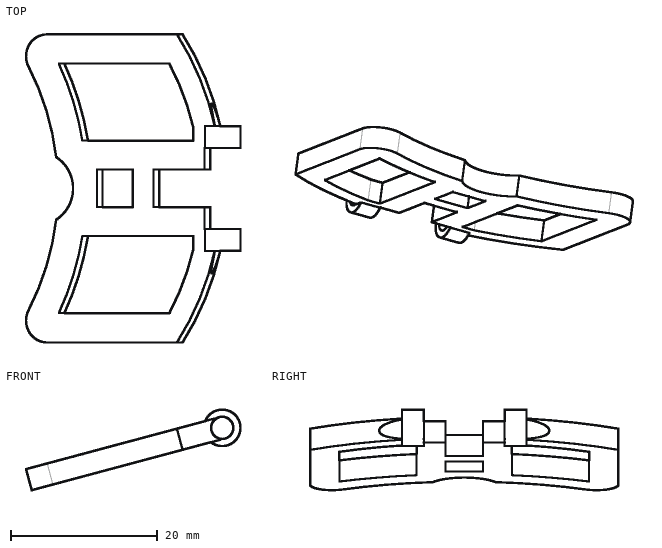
import cadquery as cq

tilt_angle = 15.0
plate_thickness = 3.0
plate_width = 42.0
half_width = plate_width / 2
blank_reach = 40.0

front_centre_x = -58.0
front_radius = 35.23
rear_centre_x = -37.9
rear_radius = 38.2
corner_radius = 3.0

notch_radius = 5.0
notch_centre_x = -25.64

side_wall = 4.0
front_wall = 4.0
rear_wall = 3.0
window_inner_y = 6.5
window_outer_y = half_width - side_wall
window_end_x = -3.7

slot_width = 5.1
centre_window_front_x = -17.27
centre_window_rear_x = -12.24
slot_front_x = -9.27

lug_inner_y = 5.5
lug_length = 3.0
lug_diameter = 5.0
pin_diameter = 3.0
rail_end_x = -2.07


def block(x_min, x_max, y_min, y_max):
    """Box through the full plate thickness between the given limits."""
    return (
        cq.Workplane("XY")
        .box(x_max - x_min, y_max - y_min, plate_thickness, centered=(False, False, True))
        .translate((x_min, y_min, 0))
    )


def disc(centre_x, radius):
    """Disc through the full plate thickness, centred on the line of symmetry."""
    return (
        cq.Workplane("XY")
        .center(centre_x, 0)
        .circle(radius)
        .extrude(plate_thickness / 2, both=True)
    )


def axis_cylinder(diameter, y_min, length):
    """Cylinder on the hinge axis, starting at y_min and running toward +Y."""
    return (
        cq.Workplane("XZ", origin=(0, y_min, 0))
        .circle(diameter / 2)
        .extrude(-length)
    )


def make_plate():
    blank = block(-blank_reach, blank_reach, -half_width, half_width)
    plate = blank.intersect(disc(rear_centre_x, rear_radius))
    plate = plate.cut(disc(front_centre_x, front_radius))
    plate = plate.edges("|Z and <X").fillet(corner_radius)
    return plate.cut(disc(notch_centre_x, notch_radius))


def make_side_window(y_min, y_max):
    window = block(-blank_reach, window_end_x, y_min, y_max)
    window = window.intersect(disc(rear_centre_x, rear_radius - rear_wall))
    return window.cut(disc(front_centre_x, front_radius + front_wall))


def cut_openings(plate):
    half_slot = slot_width / 2
    plate = plate.cut(make_side_window(window_inner_y, window_outer_y))
    plate = plate.cut(make_side_window(-window_outer_y, -window_inner_y))
    plate = plate.cut(block(centre_window_front_x, centre_window_rear_x, -half_slot, half_slot))
    plate = plate.cut(block(slot_front_x, blank_reach, -half_slot, half_slot))
    return plate.cut(block(rail_end_x, blank_reach, -lug_inner_y, lug_inner_y))


def add_hinge(plate):
    for lug_start_y in (lug_inner_y, -lug_inner_y - lug_length):
        plate = plate.union(axis_cylinder(lug_diameter, lug_start_y, lug_length))
    return plate.cut(axis_cylinder(pin_diameter, -half_width, plate_width))


flat_part = add_hinge(cut_openings(make_plate()))
result = flat_part.rotate((0, 0, 0), (0, 1, 0), -tilt_angle)